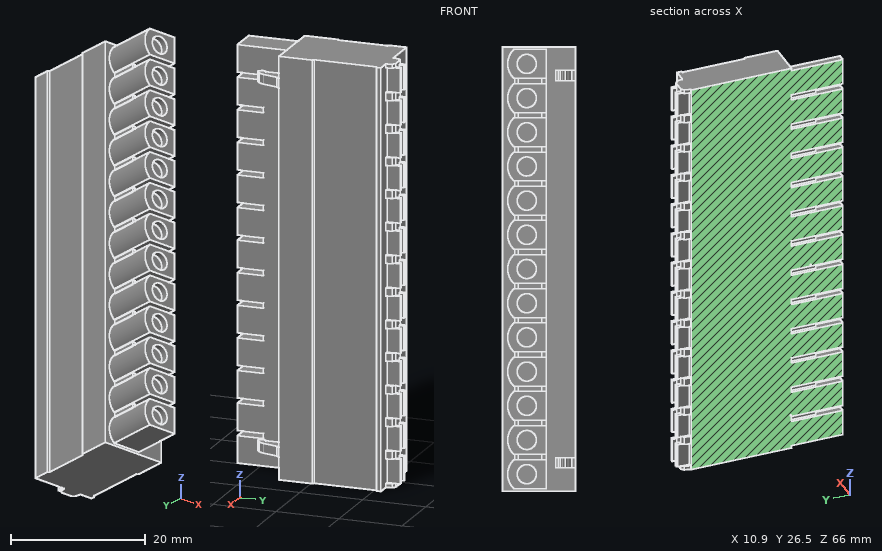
import cadquery as cq

height = 66.05
pole_count = 13
pitch = height / pole_count

body_width = 10.9
body_front = 8.25
body_back = 24.45
side_recess = 0.25
step_slope = 0.2
recess_front = 13.55
left_recess_back = 21.65
right_recess_back = 23.8

plug_left = 0.8
plug_shoulder = 1.7
plug_right = 6.55
plug_height = 4.3
hole_x = 3.6
hole_diameter = 2.85
hole_depth = 1.25

web_front = 4.15
web_spans = [(1.85, 2.4), (5.9, plug_right)]

key_left = 6.1
key_right = 8.25
key_height = 3.8
key_back = 26.5
key_lead_in = 0.1
rail_back = 25.75
rail_shoulder = 25.35
rail_base_span = (5.6, 8.8)
rail_shoulder_span = (5.8, 8.6)
rail_top_span = (6.2, 8.1)
groove_left = 6.7
groove_right = 7.8

latch_left = 8.3
hook_left = 7.9
latch_tip = 4.0
latch_width = 1.5
latch_inset = 3.5


def box(x_span, y_span, z_span):
    """Box between two limits on each axis."""
    spans = (x_span, y_span, z_span)
    size = [end - start for start, end in spans]
    corner = [start for start, end in spans]
    return cq.Workplane("XY").box(*size, centered=False).translate(tuple(corner))


def prism(points, bottom, length):
    """Outline in X and Y, raised along Z."""
    return cq.Workplane("XY").workplane(offset=bottom).polyline(points).close().extrude(length)


def make_body():
    """Housing block with a shallow recess along each side."""
    inner_right = body_width - side_recess
    outline = [
        (0, body_front),
        (body_width, body_front),
        (body_width, recess_front),
        (inner_right, recess_front + step_slope),
        (inner_right, right_recess_back - step_slope),
        (body_width, right_recess_back),
        (body_width, body_back),
        (0, body_back),
        (0, left_recess_back),
        (side_recess, left_recess_back - step_slope),
        (side_recess, recess_front + step_slope),
        (0, recess_front),
    ]
    return prism(outline, 0, height)


def make_plug(center):
    """Plug with a bulged left side and a blind hole in its tip."""
    half = plug_height / 2
    plug = (
        cq.Workplane("XZ", origin=(0, 0, center))
        .moveTo(plug_shoulder, -half)
        .lineTo(plug_right, -half)
        .lineTo(plug_right, half)
        .lineTo(plug_shoulder, half)
        .threePointArc((plug_left, 0), (plug_shoulder, -half))
        .close()
        .extrude(-body_front)
    )
    hole = (
        cq.Workplane("XZ", origin=(hole_x, 0, center))
        .circle(hole_diameter / 2)
        .extrude(-hole_depth)
    )
    return plug.cut(hole)


def make_webs(middle):
    """Two webs bridging the gap between neighbouring plugs."""
    half_gap = (pitch - plug_height) / 2
    z_span = (middle - half_gap, middle + half_gap)
    left_web, right_web = [box(x_span, (web_front, body_front), z_span) for x_span in web_spans]
    return left_web.union(right_web)


def make_rail_piece(bottom, length):
    """Stretch of low rail with sloped sides, filling the space beside a key."""
    outline = [
        (rail_base_span[0], body_back),
        (rail_base_span[1], body_back),
        (rail_shoulder_span[1], rail_shoulder),
        (rail_top_span[1], rail_back),
        (rail_top_span[0], rail_back),
        (rail_shoulder_span[0], rail_shoulder),
    ]
    return prism(outline, bottom, length)


def make_key(center):
    """Forked key with a prong on each side of its groove."""
    outline = [
        (key_left, body_back),
        (key_right, body_back),
        (key_right, key_back),
        (groove_right, key_back),
        (groove_right, rail_back),
        (groove_left, rail_back),
        (groove_left, key_back),
        (key_left + key_lead_in, key_back),
        (key_left, key_back - key_lead_in),
    ]
    return prism(outline, center - key_height / 2, key_height)


def make_latch(bottom):
    """Tapered arm with a hooked tip."""
    outline = [
        (latch_left, body_front),
        (latch_left, 5.2),
        (hook_left, 4.9),
        (hook_left, 4.5),
        (latch_left, latch_tip),
        (8.6, latch_tip),
        (8.9, 4.2),
        (9.3, 4.55),
        (9.7, 5.3),
        (10.3, 7.65),
        (10.45, 7.85),
        (body_width, body_front),
    ]
    return prism(outline, bottom, latch_width)


end_gap = (pitch - key_height) / 2

result = make_body()
result = result.union(make_rail_piece(0, end_gap))
result = result.union(make_rail_piece(height - end_gap, end_gap))
for pole in range(pole_count):
    center = (pole + 0.5) * pitch
    result = result.union(make_plug(center))
    result = result.union(make_key(center))
for joint in range(1, pole_count):
    middle = joint * pitch
    result = result.union(make_webs(middle))
    result = result.union(make_rail_piece(middle - end_gap, 2 * end_gap))
for latch_bottom in (latch_inset, height - latch_inset - latch_width):
    result = result.union(make_latch(latch_bottom))